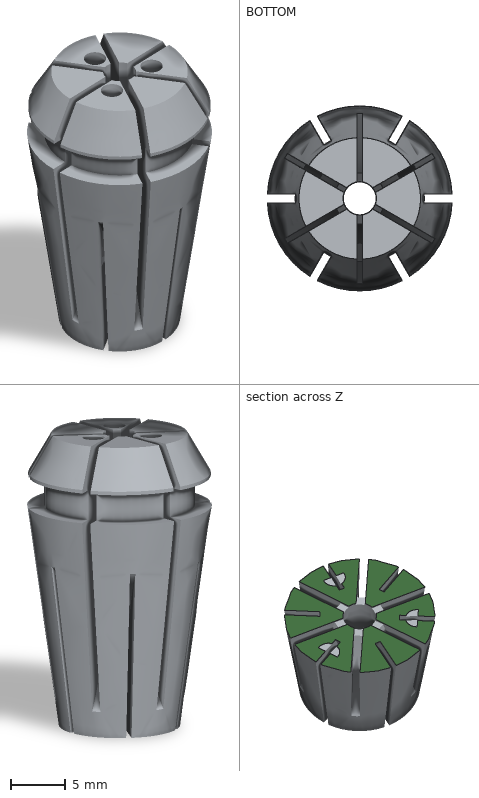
import cadquery as cq
import math

height = 27.5
shoulder_radius = 8.5
shoulder_z = 20.74
taper_slope = math.tan(math.radians(8.0))
tip_radius = shoulder_radius - shoulder_z * taper_slope
neck_radius = 6.93
lip_bottom_z = 23.5
lip_top_z = 23.85
head_radius = 8.4
face_radius = 6.27

bore_radius = 1.5

slots_per_end = 6
slot_pitch = 360.0 / slots_per_end
slot_root_radius = 2.35
slot_root_slope = math.tan(math.radians(4.0))
overshoot = 1.38
slot_reach = shoulder_radius + overshoot

front_slot_width = 0.8
front_slot_arc_radius = 25.02
front_slot_outer_z = 2.48
front_slot_root_z = 9.62

rear_slot_width = 0.5
rear_slot_arc_radius = 20.08
rear_slot_outer_z = 15.95
rear_slot_root_z = 5.35

hole_count = 3
hole_first_angle = 90.0
hole_radius = 1.02
hole_place_radius = 3.08
hole_tilt = 7.0
hole_length = 17.88


def make_body():
    profile = [
        (0, 0),
        (tip_radius, 0),
        (shoulder_radius, shoulder_z),
        (neck_radius, shoulder_z),
        (neck_radius, lip_bottom_z),
        (head_radius, lip_bottom_z),
        (head_radius, lip_top_z),
        (face_radius, height),
        (0, height),
    ]
    solid = cq.Workplane("XZ").polyline(profile).close().revolve(360, (0, 0, 0), (0, 1, 0))
    bore = cq.Workplane("XY").circle(bore_radius).extrude(height)
    return solid.cut(bore)


def make_slot(width, arc_radius, outer_z, root_z, opens_up):
    """Slot from the axis out along +X; its blind end is an arc from the root to the taper."""
    direction = 1 if opens_up else -1
    open_z = height + overshoot if opens_up else -overshoot
    axis_z = root_z - direction * slot_root_radius * slot_root_slope
    outer_radius = tip_radius + outer_z * taper_slope

    run = outer_radius - slot_root_radius
    rise = outer_z - root_z
    chord = math.hypot(run, rise)
    sagitta = arc_radius - math.sqrt(arc_radius**2 - (chord / 2) ** 2)
    arc_middle = (
        (slot_root_radius + outer_radius) / 2 - sagitta * abs(rise) / chord,
        (root_z + outer_z) / 2 - direction * sagitta * run / chord,
    )
    return (
        cq.Workplane("XZ")
        .moveTo(0, axis_z)
        .lineTo(slot_root_radius, root_z)
        .threePointArc(arc_middle, (outer_radius, outer_z))
        .lineTo(slot_reach, outer_z)
        .lineTo(slot_reach, open_z)
        .lineTo(0, open_z)
        .close()
        .extrude(width / 2, both=True)
    )


def make_hole():
    """Tilted hole whose axis crosses the head face on the +X side."""
    return (
        cq.Workplane("XY")
        .workplane(offset=-hole_length)
        .circle(hole_radius)
        .extrude(hole_length + overshoot)
        .rotate((0, 0, 0), (0, 1, 0), -hole_tilt)
        .translate((hole_place_radius, 0, height))
    )


def cut_around(part, cutter, count, first_angle):
    for index in range(count):
        angle = first_angle + index * 360.0 / count
        part = part.cut(cutter.rotate((0, 0, 0), (0, 0, 1), angle))
    return part


front_slot = make_slot(
    front_slot_width, front_slot_arc_radius, front_slot_outer_z, front_slot_root_z, opens_up=True
)
rear_slot = make_slot(
    rear_slot_width, rear_slot_arc_radius, rear_slot_outer_z, rear_slot_root_z, opens_up=False
)

result = make_body()
result = cut_around(result, front_slot, slots_per_end, 0)
result = cut_around(result, rear_slot, slots_per_end, slot_pitch / 2)
result = cut_around(result, make_hole(), hole_count, hole_first_angle)